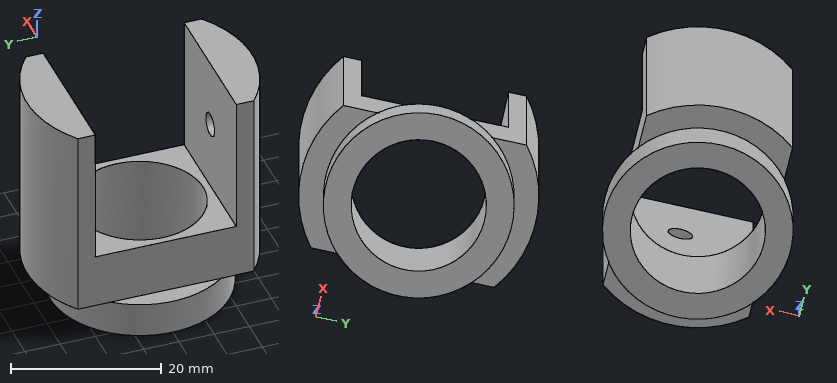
import cadquery as cq

total_height = 33.0
collar_diameter = 25.4
collar_height = 5.08
yoke_diameter = 32.0
yoke_width = 20.0
slot_width = 20.0
slot_depth = 19.95
bore_diameter = 18.0
pivot_diameter = 3.3
pivot_depth = 2.0

yoke_height = total_height - collar_height
slot_floor = total_height - slot_depth
pivot_height = slot_floor + slot_depth / 2


def make_collar():
    """Plain ring below the yoke."""
    return (
        cq.Workplane("XY")
        .circle(collar_diameter / 2)
        .circle(bore_diameter / 2)
        .extrude(collar_height)
    )


def make_pivot_sockets():
    """Cutter along Y that sinks one blind socket into each arm."""
    cutter_length = slot_width + 2 * pivot_depth
    return (
        cq.Workplane("XZ", origin=(0, 0, pivot_height))
        .circle(pivot_diameter / 2)
        .extrude(cutter_length / 2, both=True)
    )


def make_yoke():
    """Bored round block with two flat sides and a slot that leaves two arms."""
    base = cq.Workplane("XY", origin=(0, 0, collar_height))
    round_block = base.circle(yoke_diameter / 2).circle(bore_diameter / 2).extrude(yoke_height)
    flat_sides = base.rect(yoke_width, yoke_diameter).extrude(yoke_height)
    slot = (
        cq.Workplane("XY", origin=(0, 0, slot_floor))
        .rect(yoke_diameter, slot_width)
        .extrude(slot_depth)
    )
    return round_block.intersect(flat_sides).cut(slot).cut(make_pivot_sockets())


def make_housing():
    """Yoke and collar as one solid, with the bore running through both."""
    return make_yoke().union(make_collar())


housing = make_housing()

result = cq.Compound.makeCompound(housing.solids().vals())